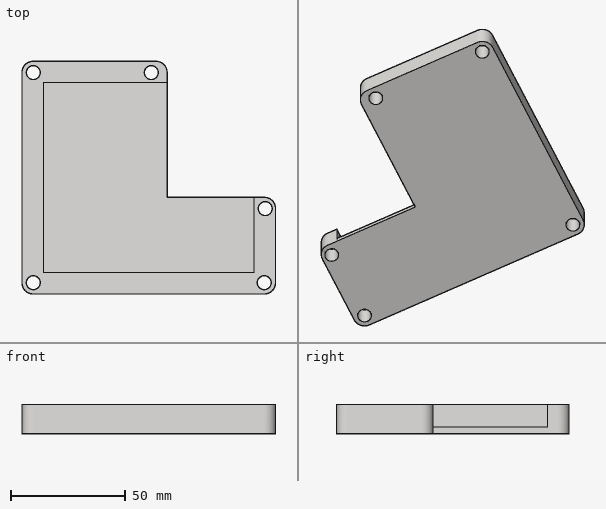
import cadquery as cq

length = 111.0
width = 101.9
height = 13.0
upper_leg_width = 63.6
lower_leg_width = 42.4
corner_radius = 5.0

floor_thickness = 3.0
wall_thickness = 9.4

hole_diameter = 6.0
hole_inset = 5.0
end_hole_inset = 4.5
upper_hole_inset = 7.0


def l_prism(x_min, y_min, x_max, y_max, depth):
    """L-shaped prism whose inner notch corner is shared by the outline and the pocket."""
    return (
        cq.Workplane("XY")
        .moveTo(x_min, y_min)
        .lineTo(x_max, y_min)
        .lineTo(x_max, lower_leg_width)
        .lineTo(upper_leg_width, lower_leg_width)
        .lineTo(upper_leg_width, y_max)
        .lineTo(x_min, y_max)
        .close()
        .extrude(depth)
    )


outer_corners = [
    (0, 0),
    (length, 0),
    (length, lower_leg_width),
    (upper_leg_width, width),
    (0, width),
]
block = l_prism(0, 0, length, width, height)
for x, y in outer_corners:
    corner_edge = cq.selectors.NearestToPointSelector((x, y, height / 2))
    block = block.edges("|Z").edges(corner_edge).fillet(corner_radius)

pocket = l_prism(
    wall_thickness,
    wall_thickness,
    length - wall_thickness,
    width - wall_thickness,
    height - floor_thickness,
).translate((0, 0, floor_thickness))

hole_centers = [
    (hole_inset, hole_inset),
    (length - hole_inset, hole_inset),
    (length - end_hole_inset, lower_leg_width - hole_inset),
    (upper_leg_width - upper_hole_inset, width - hole_inset),
    (hole_inset, width - hole_inset),
]
holes = cq.Workplane("XY").pushPoints(hole_centers).circle(hole_diameter / 2).extrude(height)

result = block.cut(pocket).cut(holes)